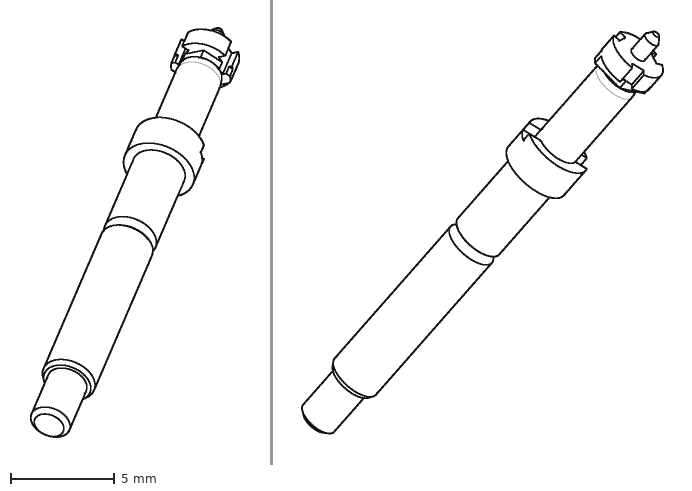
import cadquery as cq
import math

length = 27.8
tip_y = length / 2

pin_taper_end = 0.35
crown_start = 1.47
crown_end = 2.47
neck_end = 2.97
barrel_taper_end = 3.4
collar_start = 8.0
collar_end = 9.8
groove_start = 14.5
groove_end = 15.1
body_chamfer_start = 24.58
body_end = 24.83
tail_chamfer_start = 27.58

pin_radius = 0.42
pin_tip_radius = 0.2
crown_radius = 1.5
barrel_front_radius = 1.08
barrel_radius = 1.15
collar_diameter = 3.6
collar_radius = collar_diameter / 2
body_radius = 1.33
groove_radius = 1.15
body_end_radius = 1.2
tail_radius = 1.0
tail_end_radius = 0.75

slot_width = 0.7
slot_floor = 1.08
slot_angles = (30, 150, 270)

ridge_height = 1.08
flat_slope = math.radians(30)

notch_width = 0.95
notch_depth = 0.5


def rod(start, end, radius):
    """Cylinder on the Y axis between two distances from the tip."""
    return cq.Workplane("XZ", origin=(0, tip_y - start, 0)).circle(radius).extrude(end - start)


def along(outline, points):
    """Extend a profile by straight lines through (distance from tip, radius) points."""
    for distance, radius in points:
        outline = outline.lineTo(tip_y - distance, radius)
    return outline


def turned_body():
    """Pin, barrel, collar, grooved body and tail as one revolved profile."""
    before_groove = [
        (0, pin_tip_radius),
        (pin_taper_end, pin_radius),
        (neck_end, pin_radius),
        (neck_end, barrel_front_radius),
        (barrel_taper_end, barrel_radius),
        (collar_start, barrel_radius),
        (collar_start, collar_radius),
        (collar_end, collar_radius),
        (collar_end, body_radius),
        (groove_start, body_radius),
    ]
    after_groove = [
        (body_chamfer_start, body_radius),
        (body_end, body_end_radius),
        (body_end, tail_radius),
        (tail_chamfer_start, tail_radius),
        (length, tail_end_radius),
        (length, 0),
    ]
    groove_middle = (groove_start + groove_end) / 2
    outline = along(cq.Workplane("YZ").moveTo(tip_y, 0), before_groove)
    outline = outline.threePointArc((tip_y - groove_middle, groove_radius), (tip_y - groove_end, body_radius))
    return along(outline, after_groove).close().revolve(360, (0, 0, 0), (1, 0, 0))


def crown_and_neck():
    """Slotted crown with the flat-sided neck behind it; the slots run through both."""
    ridge_reach = ridge_height / math.tan(flat_slope)
    flats = (
        cq.Workplane("XZ", origin=(0, tip_y - crown_end, 0))
        .polyline([(0, ridge_height), (ridge_reach, 0), (0, -ridge_height), (-ridge_reach, 0)])
        .close()
        .extrude(neck_end - crown_end)
    )
    neck = rod(crown_end, neck_end, crown_radius).intersect(flats)
    crown = rod(crown_start, crown_end, crown_radius).union(neck)
    for angle in slot_angles:
        slot = (
            cq.Workplane("XY")
            .box(crown_radius, neck_end - crown_start, slot_width, centered=(False, False, True))
            .translate((slot_floor, tip_y - neck_end, 0))
            .rotate((0, 0, 0), (0, 1, 0), -angle)
        )
        crown = crown.cut(slot)
    return crown


def collar_notches():
    """Notches at +X and -X, as deep as the barrel surface."""
    notches = (
        cq.Workplane("XY")
        .box(collar_diameter, notch_depth, notch_width, centered=(True, False, True))
        .translate((0, tip_y - collar_start - notch_depth, 0))
    )
    return notches.cut(rod(collar_start, collar_start + notch_depth, barrel_radius))


result = turned_body().cut(collar_notches()).union(crown_and_neck())